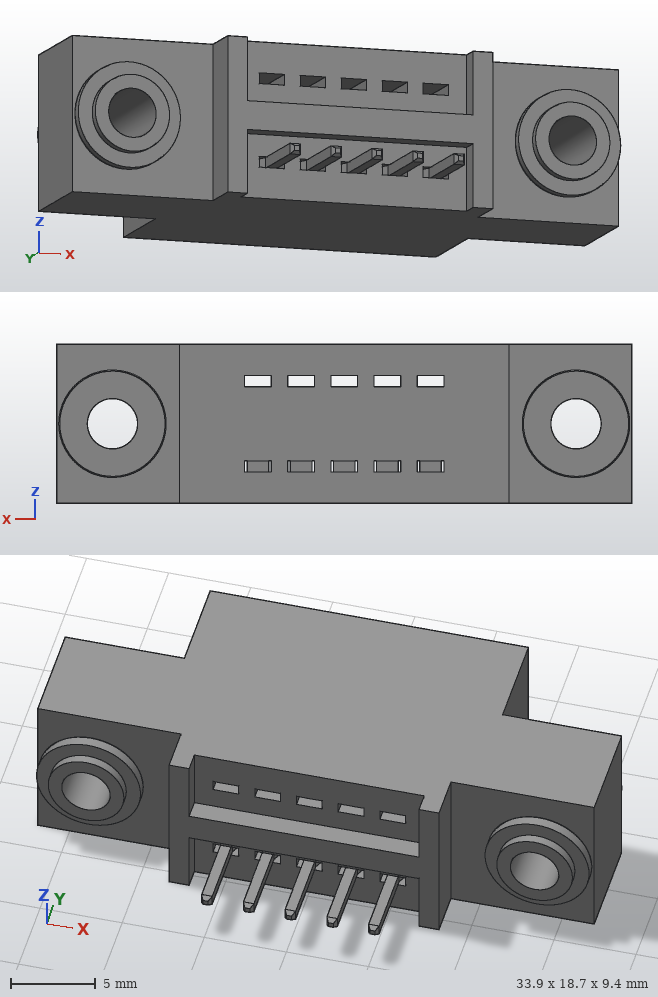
import cadquery as cq

flange_length = 33.9
flange_depth = 6.4
housing_height = 9.4
rear_block_width = 19.4
rear_block_depth = 6.05
front_block_width = 16.45
front_block_depth = 2.78

recess_width = 14.0
recess_depth = 1.22
rib_height = 1.73

contact_count = 5
contact_pitch = 2.55
row_offset = 2.5
slot_width = 1.55
slot_height = 0.65

pin_width = slot_height
pin_protrusion = 3.5
tip_length = 0.3
tip_inset = 0.17
blade_width = 1.3
shoulder_setback = 0.27
shoulder_length = 0.75

bushing_offset = 13.65
bore_diameter = 2.95
sleeve_diameter = 4.6
collar_diameter = 6.35
front_collar_thickness = 0.75
rear_collar_thickness = 0.6
sleeve_protrusion = 1.32
rim_chamfer_length = 0.1
rim_chamfer_inset = 0.07

front_face_y = -front_block_depth
recess_floor_y = front_face_y + recess_depth
rear_face_y = flange_depth + rear_block_depth
pin_tip_y = front_face_y - pin_protrusion
contact_xs = [(i - (contact_count - 1) / 2) * contact_pitch for i in range(contact_count)]
bushing_xs = (-bushing_offset, bushing_offset)


def block(width, y_start, y_end, z_bottom, z_top):
    """Box centred on x = 0 that spans the given y and z ranges."""
    return (
        cq.Workplane("XY")
        .box(width, y_end - y_start, z_top - z_bottom, centered=(True, False, False))
        .translate((0, y_start, z_bottom))
    )


def y_cylinder(diameter, x, y_start, y_end):
    """Cylinder along Y at mid height of the housing."""
    return (
        cq.Workplane("XZ", origin=(x, y_start, 0))
        .circle(diameter / 2)
        .extrude(y_start - y_end)
    )


def make_housing():
    half_height = housing_height / 2
    half_rib = rib_height / 2

    body = block(flange_length, 0, flange_depth, -half_height, half_height)
    body = body.union(block(rear_block_width, 0, rear_face_y, -half_height, half_height))
    body = body.union(block(front_block_width, front_face_y, flange_depth, -half_height, half_height))

    body = body.cut(block(recess_width, front_face_y, recess_floor_y, half_rib, half_height))
    body = body.cut(block(recess_width, front_face_y, recess_floor_y, -half_height, -half_rib))

    slot_centres = [(x, z) for x in contact_xs for z in (-row_offset, row_offset)]
    slots = (
        cq.Workplane("XZ", origin=(0, front_face_y, 0))
        .pushPoints(slot_centres)
        .rect(slot_width, slot_height)
        .extrude(front_face_y - rear_face_y)
    )
    body = body.cut(slots)

    for x in bushing_xs:
        body = body.cut(y_cylinder(sleeve_diameter, x, 0, flange_depth))
    return body


def make_contact(x):
    """Square pin with a tapered tip, widening through sloped shoulders to a blade inside its slot."""
    tip_start_y = pin_tip_y + tip_length
    tip_width = pin_width - 2 * tip_inset
    tip = (
        cq.Workplane("XZ", origin=(x, tip_start_y, -row_offset))
        .rect(pin_width, pin_width)
        .workplane(offset=tip_length)
        .rect(tip_width, tip_width)
        .loft()
    )

    half_pin = pin_width / 2
    half_blade = blade_width / 2
    shoulder_start_y = recess_floor_y + shoulder_setback
    blade_start_y = shoulder_start_y + shoulder_length
    shank = (
        cq.Workplane("XY", origin=(x, 0, -row_offset - half_pin))
        .moveTo(-half_pin, tip_start_y)
        .lineTo(half_pin, tip_start_y)
        .lineTo(half_pin, shoulder_start_y)
        .lineTo(half_blade, blade_start_y)
        .lineTo(half_blade, flange_depth)
        .lineTo(-half_blade, flange_depth)
        .lineTo(-half_blade, blade_start_y)
        .lineTo(-half_pin, shoulder_start_y)
        .close()
        .extrude(pin_width)
    )
    return shank.union(tip)


def make_collar(x, y_start, y_end):
    """Disc along Y with a small chamfer on its rear rim."""
    disc = y_cylinder(collar_diameter, x, y_start, y_end)
    return disc.faces(">Y").chamfer(rim_chamfer_length, rim_chamfer_inset)


def make_bushing(x):
    """Bored sleeve through the flange with a collar against each flange face."""
    rear_end_y = flange_depth + rear_collar_thickness
    sleeve = y_cylinder(sleeve_diameter, x, -sleeve_protrusion, rear_end_y)
    front_collar = make_collar(x, -front_collar_thickness, 0)
    rear_collar = make_collar(x, flange_depth, rear_end_y)
    bore = y_cylinder(bore_diameter, x, -sleeve_protrusion, rear_end_y)
    return sleeve.union(front_collar).union(rear_collar).cut(bore)


housing = make_housing()
contacts = [make_contact(x) for x in contact_xs]
bushings = [make_bushing(x) for x in bushing_xs]

result = cq.Compound.makeCompound(
    [housing.val(), *[contact.val() for contact in contacts], *[bushing.val() for bushing in bushings]]
)